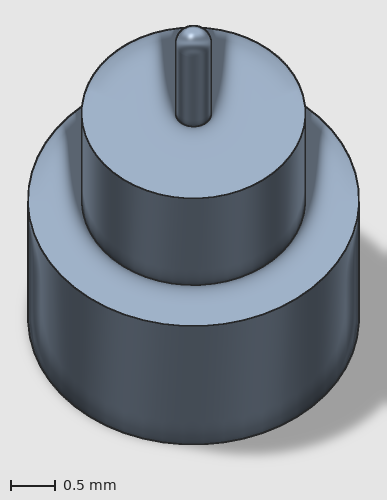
import cadquery as cq

total_height = 4.95
base_diameter = 3.7
base_height = 2.05
collar_diameter = 2.5
collar_height = 1.5
pin_diameter = 0.4

pin_radius = pin_diameter / 2
pin_height = total_height - base_height - collar_height

base = cq.Workplane("XY").circle(base_diameter / 2).extrude(base_height)
body = base.faces(">Z").workplane().circle(collar_diameter / 2).extrude(collar_height)

shank = body.faces(">Z").workplane().circle(pin_radius).extrude(pin_height - pin_radius)
tip = cq.Workplane("XY").sphere(pin_radius).translate((0, 0, total_height - pin_radius))

result = shank.union(tip)